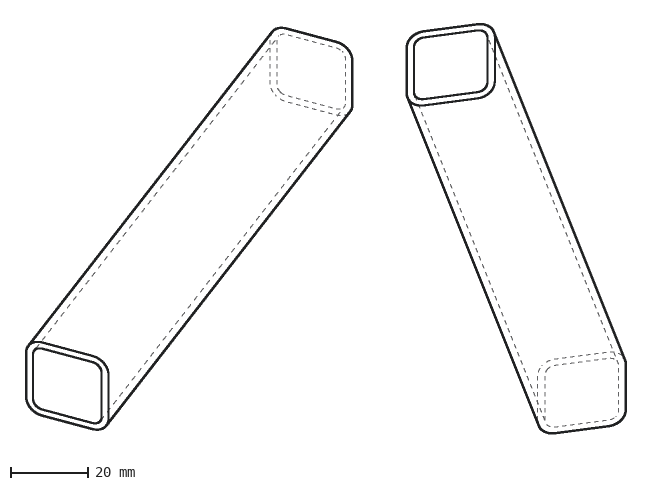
import cadquery as cq

length = 152.4
side = 23.5
wall = 2.0
outer_radius = 4.5
inner_radius = outer_radius - wall
bore_side = side - 2 * wall


def rounded_bar(width, corner_radius):
    """Square bar centred on the origin, with its long edges rounded."""
    return cq.Workplane("XY").box(width, length, width).edges("|Y").fillet(corner_radius)


result = rounded_bar(side, outer_radius).cut(rounded_bar(bore_side, inner_radius))